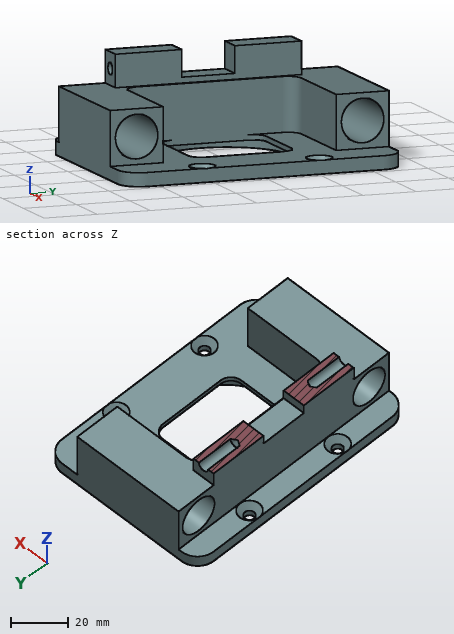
import cadquery as cq
import math

plate_width = 75.0
plate_length = 105.0
plate_thickness = 5.0
corner_radius = 8.0

block_start = 9.5
block_width = 50.0
block_top = 25.0
pocket_start = 20.7
pocket_length = 65.1
inner_radius = 5.0

window_width = 34.1
window_length = 39.0

recess_diameter = 49.1
recess_depth = 3.2

lug_width = 10.1
lug_span = 70.0
lug_top = 37.0
saddle_length = 20.0
saddle_top = 27.1

rod_diameter = 16.0
rod_offset = 42.5
rod_height = 15.0

pin_diameter = 4.4
pin_depth = 15.8
pin_height = 31.0
drill_point_angle = 118

screw_diameter = 4.4
sink_diameter = 9.5
sink_angle = 90
screw_inset = 4.6
screw_pitch = 44.0

mid_y = plate_length / 2


def box(x, width, length, bottom, top):
    """Box starting at x and centred on the part's length."""
    solid = cq.Workplane("XY").box(width, length, top - bottom, centered=(False, True, False))
    return solid.translate((x, mid_y, bottom))


def make_plate():
    plate = box(0, plate_width, plate_length, 0, plate_thickness).edges("|Z").fillet(corner_radius)
    window = box(pocket_start, window_width, window_length, 0, plate_thickness)
    return plate.cut(window.edges("|Z").fillet(inner_radius))


def make_block():
    block = box(block_start, block_width, plate_length, 0, block_top)
    pocket_width = block_start + block_width - pocket_start
    pocket = box(pocket_start, pocket_width, pocket_length, 0, block_top)
    return block.cut(pocket.edges("|Z and <X").fillet(inner_radius))


def make_lugs():
    lugs = box(block_start, lug_width, lug_span, plate_thickness, lug_top)
    return lugs.cut(box(block_start, lug_width, saddle_length, saddle_top, lug_top))


def pin_hole(side):
    """Blind drilled hole with a conical end, running inwards from one lug face."""
    radius = pin_diameter / 2
    point_length = radius / math.tan(math.radians(drill_point_angle / 2))
    profile = [(0, 0), (radius, 0), (radius, pin_depth), (0, pin_depth + point_length)]
    drill = cq.Workplane("XY").polyline(profile).close().revolve(360, (0, 0), (0, 1))
    if side > 0:
        drill = drill.rotate((0, 0, 0), (0, 0, 1), 180)
    return drill.translate((block_start + lug_width / 2, mid_y + side * lug_span / 2, pin_height))


def make_recess():
    centre_x = pocket_start + window_width / 2
    return cq.Workplane("XY").center(centre_x, mid_y).circle(recess_diameter / 2).extrude(recess_depth)


def rod_bore(side):
    bore = cq.Workplane("YZ").center(mid_y + side * rod_offset, rod_height)
    return bore.circle(rod_diameter / 2).extrude(plate_width)


screw_points = [
    (x, mid_y + side * screw_pitch / 2)
    for x in (screw_inset, plate_width - screw_inset)
    for side in (-1, 1)
]

plate = (
    make_plate()
    .faces(">Z")
    .workplane(origin=(0, 0, plate_thickness))
    .pushPoints(screw_points)
    .cskHole(screw_diameter, sink_diameter, sink_angle)
)

result = plate.union(make_block()).union(make_lugs()).cut(make_recess())
for side in (-1, 1):
    result = result.cut(rod_bore(side)).cut(pin_hole(side))